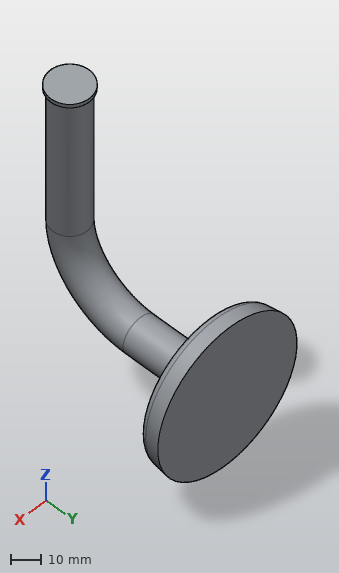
import cadquery as cq

disc_radius = 33.01
rim_shoulder_radius = 32.2
rim_shoulder_depth = 6.4
face_radius = 28.8
face_edge_depth = 9.4
disc_depth = 11.4
edge_mid_radius = 31.1
edge_mid_depth = 8.5

rod_diameter = 16.0
bend_radius = 32.0
cap_diameter = 18.0
cap_thickness = 1.7

total_reach = 81.0
total_height = 130.8

upright_reach = total_reach - cap_diameter / 2
top_height = total_height - disc_radius
rod_top = top_height - cap_thickness
bend_start = upright_reach - bend_radius


def make_disc():
    """Revolve the half section of the domed wall disc about the Y axis."""
    return (
        cq.Workplane("XY")
        .lineTo(disc_radius, 0)
        .lineTo(rim_shoulder_radius, -rim_shoulder_depth)
        .threePointArc((edge_mid_radius, -edge_mid_depth), (face_radius, -face_edge_depth))
        .lineTo(0, -disc_depth)
        .close()
        .revolve(360, (0, 0, 0), (0, 1, 0))
    )


def make_rod():
    """Sweep the rod straight out from the wall, round the bend and upward."""
    path = (
        cq.Workplane("YZ")
        .lineTo(-bend_start, 0)
        .radiusArc((-upright_reach, bend_radius), bend_radius)
        .lineTo(-upright_reach, rod_top)
    )
    return cq.Workplane("XZ").circle(rod_diameter / 2).sweep(path)


def make_cap():
    """Thin round cap on the upper end of the rod."""
    return (
        cq.Workplane("XY")
        .workplane(offset=rod_top)
        .center(0, -upright_reach)
        .circle(cap_diameter / 2)
        .extrude(cap_thickness)
    )


result = make_disc().union(make_rod()).union(make_cap())